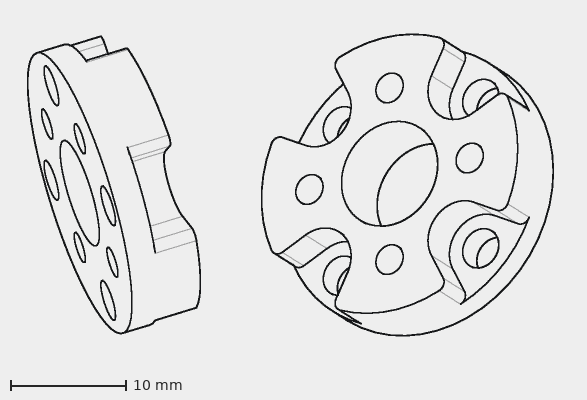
import cadquery as cq
import math

disc_diameter = 25.4
disc_thickness = 6.35
bore_diameter = 9.525

small_hole_diameter = 2.7
small_hole_circle_radius = 7.9375
large_hole_diameter = 3.57
large_hole_circle_radius = 9.764

pocket_depth = 3.81
pocket_root_radius = 3.1
pocket_wall_flare = 18.0
pocket_corner_radius = 0.79375
rim_clearance = 1.0

pattern_count = 4
first_small_hole_angle = 0.0
first_pocket_angle = 45.0
disc_radius = disc_diameter / 2


def front_plane(y):
    """XZ sketch plane at height y, with its normal along +Y (local x is -X)."""
    return cq.Workplane(cq.Plane(origin=(0, y, 0), xDir=(-1, 0, 0), normal=(0, 1, 0)))


def holes(diameter, circle_radius, first_angle):
    """Through holes spaced evenly around the disc axis."""
    return (
        front_plane(0)
        .polarArray(circle_radius, first_angle, 360, pattern_count)
        .circle(diameter / 2)
        .extrude(disc_thickness)
    )


def pocket():
    """Cutter for the pocket centred on local +x: round root, flared walls, rounded rim corners."""
    flare = math.radians(pocket_wall_flare)
    wall_direction = (math.cos(flare), math.sin(flare))
    wall_normal = (-math.sin(flare), math.cos(flare))

    wall_offset = pocket_root_radius - large_hole_circle_radius * math.sin(flare)

    corner_centre_radius = disc_radius - pocket_corner_radius
    corner_offset = wall_offset + pocket_corner_radius
    wall_end_along = math.sqrt(corner_centre_radius**2 - corner_offset**2)

    def wall_point(along, offset):
        return (
            along * wall_direction[0] + offset * wall_normal[0],
            along * wall_direction[1] + offset * wall_normal[1],
        )

    def mirrored(point):
        return (point[0], -point[1])

    wall_start = wall_point(large_hole_circle_radius * math.cos(flare), wall_offset)
    wall_end = wall_point(wall_end_along, wall_offset)
    corner_centre = wall_point(wall_end_along, corner_offset)
    rim_angle = math.atan2(corner_centre[1], corner_centre[0])
    rim_point = (disc_radius * math.cos(rim_angle), disc_radius * math.sin(rim_angle))

    corner_mid_angle = (rim_angle + flare - math.pi / 2) / 2
    corner_mid = (
        corner_centre[0] + pocket_corner_radius * math.cos(corner_mid_angle),
        corner_centre[1] + pocket_corner_radius * math.sin(corner_mid_angle),
    )
    root_mid = (large_hole_circle_radius - pocket_root_radius, 0)
    outside = (disc_radius + rim_clearance, rim_point[1])

    return (
        front_plane(disc_thickness - pocket_depth)
        .moveTo(*mirrored(wall_start))
        .threePointArc(root_mid, wall_start)
        .lineTo(*wall_end)
        .threePointArc(corner_mid, rim_point)
        .lineTo(*outside)
        .lineTo(*mirrored(outside))
        .lineTo(*mirrored(rim_point))
        .threePointArc(mirrored(corner_mid), mirrored(wall_end))
        .close()
        .extrude(pocket_depth)
    )


disc = front_plane(0).circle(disc_radius).circle(bore_diameter / 2).extrude(disc_thickness)
disc = disc.cut(holes(small_hole_diameter, small_hole_circle_radius, first_small_hole_angle))
disc = disc.cut(holes(large_hole_diameter, large_hole_circle_radius, first_pocket_angle))

pocket_cutter = pocket()
for index in range(pattern_count):
    angle = first_pocket_angle + index * 360 / pattern_count
    disc = disc.cut(pocket_cutter.rotate((0, 0, 0), (0, 1, 0), angle))

result = disc